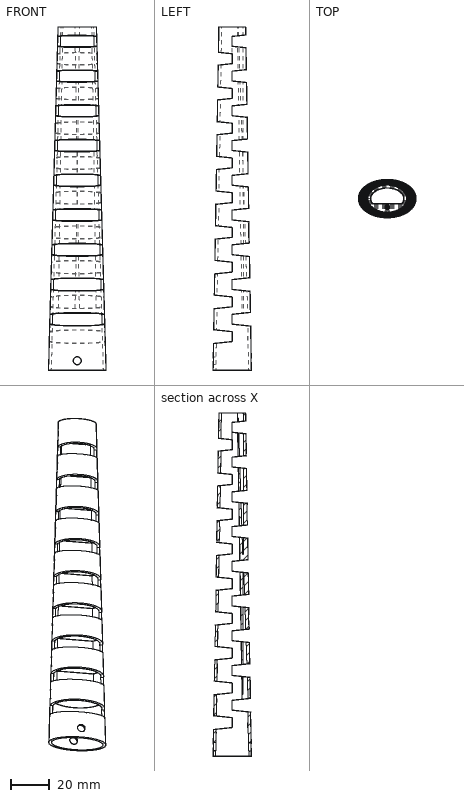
import cadquery as cq
import math

HEIGHT = 178.0
BASE_WIDTH = 30.0
BASE_DEPTH = 20.0
TIP_WIDTH = 20.0
TIP_DEPTH = 14.0
WALL = 1.5

FLOOR_THICKNESS = 4.4
CHANNEL_DIAMETER = 2.5
CHANNEL_INSET = 2.6

SLOT_COUNT = 9
SLOT_PITCH = 18.0
SLOT_ROOT_HEIGHT = 5.0
SLOT_FLARE_ANGLE = 6.0
BACK_SLOT_START = 17.5
FRONT_SLOT_START = BACK_SLOT_START + SLOT_PITCH / 2

FLOOR_START = FRONT_SLOT_START - SLOT_ROOT_HEIGHT / 2

PIN_DIAMETER = 4.0
PIN_HEIGHT = 5.0

CLEARANCE = 5.0


def depth_at(z):
    """Outer size of the tube along Y at height z."""
    return BASE_DEPTH + (TIP_DEPTH - BASE_DEPTH) * z / HEIGHT


def tapered_ellipse(inset):
    """Solid lofted between the base and tip ellipses, both shrunk by inset."""
    return (
        cq.Workplane("XY")
        .ellipse(BASE_WIDTH / 2 - inset, BASE_DEPTH / 2 - inset)
        .workplane(offset=HEIGHT)
        .ellipse(TIP_WIDTH / 2 - inset, TIP_DEPTH / 2 - inset)
        .loft(ruled=True)
    )


def floor_body():
    """Segment of the bore filled at constant thickness from the -Y outer face."""
    start_y = -depth_at(FLOOR_START) / 2
    tip_y = -depth_at(HEIGHT) / 2
    side_profile = [
        (start_y - CLEARANCE, FLOOR_START),
        (start_y + FLOOR_THICKNESS, FLOOR_START),
        (tip_y + FLOOR_THICKNESS, HEIGHT),
        (start_y - CLEARANCE, HEIGHT),
    ]
    slab = (
        cq.Workplane("YZ")
        .polyline(side_profile)
        .close()
        .extrude(BASE_WIDTH / 2, both=True)
    )
    return slab.intersect(tapered_ellipse(WALL / 2))


def cable_channel():
    """Hourglass channel parallel to the -Y outer face, narrowing to a point at mid-length."""
    start = cq.Vector(0, -depth_at(FLOOR_START) / 2 + CHANNEL_INSET, FLOOR_START)
    end = cq.Vector(0, -TIP_DEPTH / 2 + CHANNEL_INSET, HEIGHT)
    axis = end - start
    waist = start + axis * 0.5
    half_length = axis.Length / 2
    radius = CHANNEL_DIAMETER / 2
    lower = cq.Solid.makeCone(radius, 0, half_length, start, axis)
    upper_length = half_length + CLEARANCE
    upper_radius = radius * upper_length / half_length
    upper = cq.Solid.makeCone(0, upper_radius, upper_length, waist, axis)
    return lower, upper


def slot(z, side):
    """Slot centred at height z that flares towards side (+1 for +Y, -1 for -Y)."""
    reach = BASE_DEPTH / 2 + CLEARANCE
    root = SLOT_ROOT_HEIGHT / 2
    mouth = root + reach * math.tan(math.radians(SLOT_FLARE_ANGLE))
    profile = [
        (0, z - root),
        (0, z + root),
        (side * reach, z + mouth),
        (side * reach, z - mouth),
    ]
    return (
        cq.Workplane("YZ")
        .polyline(profile)
        .close()
        .extrude(BASE_WIDTH / 2 + CLEARANCE, both=True)
    )


def pin_hole():
    """Hole along Y through both walls of the base."""
    return (
        cq.Workplane("XZ")
        .center(0, PIN_HEIGHT)
        .circle(PIN_DIAMETER / 2)
        .extrude(BASE_DEPTH / 2 + CLEARANCE, both=True)
    )


result = tapered_ellipse(0).cut(tapered_ellipse(WALL))
result = result.union(floor_body())
for index in range(SLOT_COUNT):
    rise = index * SLOT_PITCH
    result = result.cut(slot(BACK_SLOT_START + rise, 1))
    result = result.cut(slot(FRONT_SLOT_START + rise, -1))
for cone in cable_channel():
    result = result.cut(cq.Workplane(cone))
result = result.cut(pin_hole())